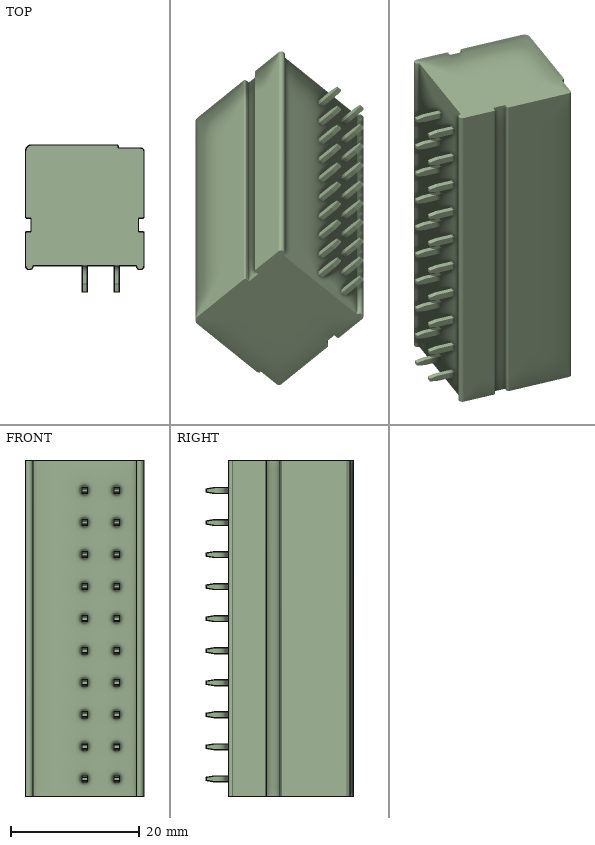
import cadquery as cq

width = 18.5
length = 52.5
overall_depth = 23.0
body_depth = 18.9

rear_left_radius = 1.0
rear_right_radius = 0.5
step_depth = 0.5
step_width = 4.0
step_radius = 0.35

groove_depth = 0.85
groove_width = 2.05
groove_rear_offset = 11.5
groove_rear_edge_radius = 0.25
groove_front_edge_radius = 0.2

rib_radius = 0.6

pin_count = 10
pin_pitch = 5.0
pin_width = 0.8
pin_height = 0.95
pin_taper_length = 1.3
pin_tip_height = 0.5
pin_columns = (0.0, pin_pitch)
top_pin_offset = 4.72

right = width / 2
left = -right
rear = overall_depth / 2
pin_tip = -overall_depth / 2
front = rear - body_depth
step_x = right - step_width
groove_rear = rear - groove_rear_offset
groove_front = groove_rear - groove_width
top = length / 2
top_pin_z = top - top_pin_offset


def make_body():
    """Extrude the stepped block and round its rear corners."""
    body = (
        cq.Workplane("XY")
        .workplane(offset=-top)
        .moveTo(left, front)
        .lineTo(right, front)
        .lineTo(right, rear - step_depth)
        .lineTo(step_x, rear - step_depth)
        .lineTo(step_x, rear)
        .lineTo(left, rear)
        .close()
        .extrude(length)
    )
    rear_corners = (
        (left, rear, rear_left_radius),
        (right, rear - step_depth, rear_right_radius),
        (step_x, rear, step_radius),
    )
    for x, y, radius in rear_corners:
        body = round_edge(body, x, y, radius)
    return body


def round_edge(body, x, y, radius):
    """Round the lengthwise edge nearest to (x, y)."""
    edge = cq.selectors.NearestToPointSelector((x, y, 0))
    return body.edges("|Z").edges(edge).fillet(radius)


def cut_side_grooves(body):
    """Cut a full-length groove in each side and round its mouth."""
    groove_y = (groove_rear + groove_front) / 2
    mouth_edges = (
        (groove_rear, groove_rear_edge_radius),
        (groove_front, groove_front_edge_radius),
    )
    for side_x in (left, right):
        cutter = cq.Workplane("XY").box(2 * groove_depth, groove_width, length)
        body = body.cut(cutter.translate((side_x, groove_y, 0)))
        for edge_y, radius in mouth_edges:
            body = round_edge(body, side_x, edge_y, radius)
    return body


def add_ribs(body):
    """Add a half-round rib along each front edge."""
    for x in (left + rib_radius, right - rib_radius):
        rib = (
            cq.Workplane("XY")
            .workplane(offset=-top)
            .center(x, front)
            .circle(rib_radius)
            .extrude(length)
        )
        body = body.union(rib)
    return body


def make_pin(x, z):
    """Make one rectangular pin whose tip tapers in height."""
    taper_start = pin_tip + pin_taper_length
    return (
        cq.Workplane("YZ")
        .workplane(offset=x - pin_width / 2)
        .moveTo(front, z - pin_height / 2)
        .lineTo(taper_start, z - pin_height / 2)
        .lineTo(pin_tip, z - pin_tip_height / 2)
        .lineTo(pin_tip, z + pin_tip_height / 2)
        .lineTo(taper_start, z + pin_height / 2)
        .lineTo(front, z + pin_height / 2)
        .close()
        .extrude(pin_width)
    )


def add_pins(body):
    """Add both columns of pins to the front face."""
    for x in pin_columns:
        for row in range(pin_count):
            body = body.union(make_pin(x, top_pin_z - row * pin_pitch))
    return body


result = add_pins(add_ribs(cut_side_grooves(make_body())))